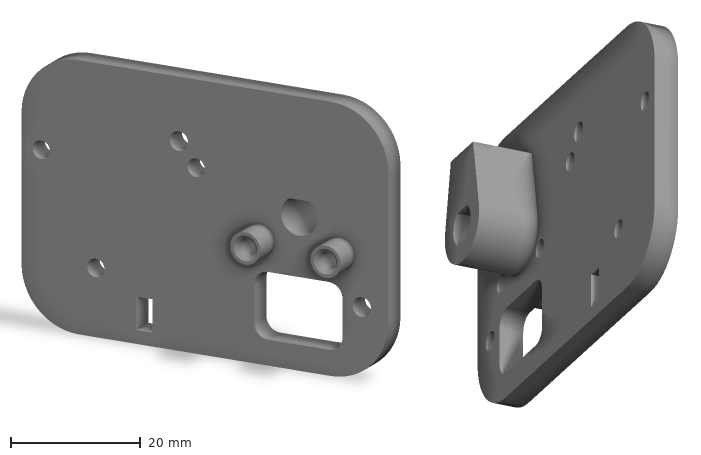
import cadquery as cq
import math

PLATE_WIDTH = 64.0
PLATE_HEIGHT = 44.5
PLATE_THICKNESS = 4.0
PLATE_CORNER_RADIUS = 10.0

SMALL_HOLE_DIAMETER = 3.0
SMALL_HOLE_CENTRES = [(-28.55, 6.7), (-1.55, 7.95), (-19.0, -11.0)]
LARGE_HOLE_DIAMETER = 3.2
LARGE_HOLE_CENTRES = [(-4.55, 11.8), (27.4, -10.25)]

SLOT_CENTRE = (-10.55, -17.3)
SLOT_WIDTH = 2.9
SLOT_HEIGHT = 5.45
WINDOW_CENTRE = (16.3, -12.55)
WINDOW_WIDTH = 15.4
WINDOW_HEIGHT = 11.0
WINDOW_CORNER_RADIUS = 2.4

HUB_X = 16.45
BORE_Z = 2.8
HUB_RADIUS = 6.2
HUB_DEPTH = 10.0
HUB_TOP_Z = 15.35
HUB_TOP_WIDTH = 8.05
BORE_DIAMETER = 6.35
BORE_FLAT_HEIGHT = 2.7
SET_SCREW_DIAMETER = 3.8

BOSS_SPACING = 14.0
BOSS_Z = -2.2
BOSS_DIAMETER = 5.25
BOSS_LENGTH = 4.5
BOSS_HOLE_DIAMETER = 3.0
BOSS_HOLE_CHAMFER = 0.6
BOSS_CENTRES = [(HUB_X + side * BOSS_SPACING / 2, BOSS_Z) for side in (-1, 1)]

PLATE_FRONT_Y = -PLATE_THICKNESS
BOSS_FRONT_Y = PLATE_FRONT_Y - BOSS_LENGTH


def section_plane(y):
    """Sketch plane with local axes along +X and +Z; extrusions run towards -Y."""
    return cq.Workplane("XZ", origin=(0, y, 0))


def make_plate():
    plate = section_plane(0).rect(PLATE_WIDTH, PLATE_HEIGHT).extrude(PLATE_THICKNESS)
    return plate.edges("|Y").fillet(PLATE_CORNER_RADIUS)


def plate_holes():
    small = section_plane(0).pushPoints(SMALL_HOLE_CENTRES).circle(SMALL_HOLE_DIAMETER / 2)
    large = section_plane(0).pushPoints(LARGE_HOLE_CENTRES).circle(LARGE_HOLE_DIAMETER / 2)
    return small.extrude(PLATE_THICKNESS).union(large.extrude(PLATE_THICKNESS))


def plate_openings():
    slot = section_plane(0).center(*SLOT_CENTRE).rect(SLOT_WIDTH, SLOT_HEIGHT).extrude(PLATE_THICKNESS)
    window = section_plane(0).center(*WINDOW_CENTRE).rect(WINDOW_WIDTH, WINDOW_HEIGHT)
    window = window.extrude(PLATE_THICKNESS).edges("|Y").fillet(WINDOW_CORNER_RADIUS)
    return slot.union(window)


def make_hub():
    half_top = HUB_TOP_WIDTH / 2
    top_height = HUB_TOP_Z - BORE_Z
    corner_distance = math.hypot(half_top, top_height)
    tangent_angle = math.atan2(top_height, half_top) - math.acos(HUB_RADIUS / corner_distance)
    tangent_x = HUB_RADIUS * math.cos(tangent_angle)
    tangent_z = HUB_RADIUS * math.sin(tangent_angle)
    return (
        section_plane(HUB_DEPTH)
        .center(HUB_X, BORE_Z)
        .moveTo(-half_top, top_height)
        .lineTo(half_top, top_height)
        .lineTo(tangent_x, tangent_z)
        .threePointArc((0, -HUB_RADIUS), (-tangent_x, tangent_z))
        .close()
        .extrude(HUB_DEPTH)
    )


def shaft_bore():
    """D-shaped bore, flat at the top, through the hub and the plate."""
    length = HUB_DEPTH + PLATE_THICKNESS
    radius = BORE_DIAMETER / 2
    flat_half_width = math.sqrt(radius**2 - BORE_FLAT_HEIGHT**2)
    return (
        section_plane(HUB_DEPTH)
        .center(HUB_X, BORE_Z)
        .moveTo(-flat_half_width, BORE_FLAT_HEIGHT)
        .lineTo(flat_half_width, BORE_FLAT_HEIGHT)
        .threePointArc((0, -radius), (-flat_half_width, BORE_FLAT_HEIGHT))
        .close()
        .extrude(length)
    )


def set_screw_hole():
    """Vertical hole from the hub top down to the bore axis."""
    hole = cq.Workplane("XY", origin=(HUB_X, HUB_DEPTH / 2, BORE_Z))
    return hole.circle(SET_SCREW_DIAMETER / 2).extrude(HUB_TOP_Z - BORE_Z)


def make_bosses():
    bosses = section_plane(PLATE_FRONT_Y).pushPoints(BOSS_CENTRES)
    return bosses.circle(BOSS_DIAMETER / 2).extrude(BOSS_LENGTH)


def boss_holes():
    """Through holes flared by a chamfer at the boss ends."""
    holes = section_plane(0).pushPoints(BOSS_CENTRES).circle(BOSS_HOLE_DIAMETER / 2)
    holes = holes.extrude(-BOSS_FRONT_Y)
    for x, z in BOSS_CENTRES:
        mouth_radius = BOSS_HOLE_DIAMETER / 2 + BOSS_HOLE_CHAMFER
        flare = cq.Solid.makeCone(
            mouth_radius,
            BOSS_HOLE_DIAMETER / 2,
            BOSS_HOLE_CHAMFER,
            pnt=cq.Vector(x, BOSS_FRONT_Y, z),
            dir=cq.Vector(0, 1, 0),
        )
        holes = holes.union(cq.Workplane(flare))
    return holes


result = make_plate().union(make_hub()).union(make_bosses())
for cutter in (plate_holes(), plate_openings(), shaft_bore(), set_screw_hole(), boss_holes()):
    result = result.cut(cutter)